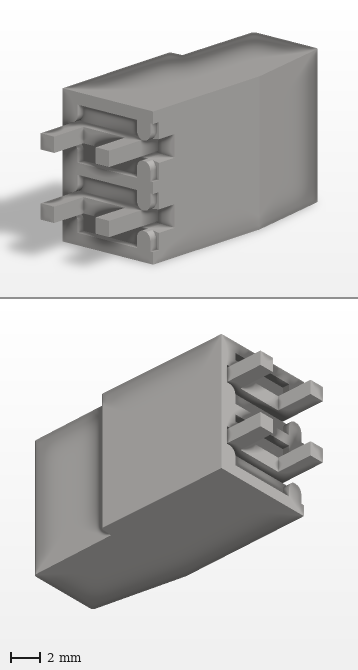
import cadquery as cq
import math

LENGTH = 21.5
WIDTH = 8.3
HEIGHT = 10.9
POLE_PITCH = 4.99
POLE_CENTRES = (-POLE_PITCH / 2, POLE_PITCH / 2)

BACK_Y = LENGTH / 2
RIGHT_X = WIDTH / 2
LEFT_X = -WIDTH / 2

PIN_PROJECTION = 3.0
FRONT_Y = -LENGTH / 2 + PIN_PROJECTION
FRONT_LEFT_X = -4.06
SHOULDER_Y = 3.4
SHOULDER_INNER_X = -3.07
SHOULDER_INNER_Y = 3.48
BACK_LEFT_X = -3.0
BACK_RIGHT_X = 2.85
TAPER_START_Y = 3.22
BACK_RADIUS = 0.25
SHOULDER_RADIUS = 0.2

POCKET_DEPTH = 0.6
POCKET_LEFT_X = -2.69
POCKET_HALF_HEIGHT = 2.06
LOBE_LEFT_X = 2.69
LOBE_RADIUS = 0.6
LOBE_CENTRE_X = LOBE_LEFT_X + LOBE_RADIUS
LOBE_RIGHT_X = LOBE_CENTRE_X + LOBE_RADIUS

SLOT_LEFT_X = -3.53
SLOT_RIGHT_X = 3.14
SLOT_HALF_HEIGHT = 0.7
SLOT_DEPTH = 2.0
MOUTH_HALF_HEIGHT = 0.84
MOUTH_DEPTH = 2.21

LOBE_SIDE_Z = SLOT_HALF_HEIGHT + LOBE_RADIUS

PIN_WIDTH = 1.23
PIN_HEIGHT = 1.16
PIN_LEFT_X = -3.4
PIN_SPACING = POLE_PITCH
TERMINAL_WIDTH = PIN_SPACING + PIN_WIDTH


def make_housing():
    """Extrude the stepped and tapered outline and round its exposed corners."""
    outline = [
        (FRONT_LEFT_X, FRONT_Y),
        (RIGHT_X, FRONT_Y),
        (RIGHT_X, TAPER_START_Y),
        (BACK_RIGHT_X, BACK_Y),
        (BACK_LEFT_X, BACK_Y),
        (SHOULDER_INNER_X, SHOULDER_INNER_Y),
        (LEFT_X, SHOULDER_Y),
    ]
    housing = cq.Workplane("XY").polyline(outline).close().extrude(HEIGHT / 2, both=True)
    rounded_corners = [
        (BACK_RIGHT_X, BACK_Y, BACK_RADIUS),
        (BACK_LEFT_X, BACK_Y, BACK_RADIUS),
        (LEFT_X, SHOULDER_Y, SHOULDER_RADIUS),
    ]
    for x, y, radius in rounded_corners:
        housing = housing.edges(cq.selectors.NearestToPointSelector((x, y, 0))).fillet(radius)
    return housing


def front_plane(z):
    """XZ work plane on the front face, centred on a pole; negative extrusion goes into the housing."""
    return cq.Workplane("XZ", origin=(0, FRONT_Y, z))


def make_pocket(z):
    """Pocket that leaves two round-ended lobes beside the slot mouth."""
    corner_start_x = POCKET_LEFT_X - LOBE_RADIUS
    diagonal = LOBE_RADIUS * math.sin(math.radians(45))
    corner_mid = (corner_start_x + diagonal, LOBE_SIDE_Z - diagonal)
    return (
        front_plane(z)
        .moveTo(SLOT_LEFT_X, -SLOT_HALF_HEIGHT)
        .lineTo(SLOT_LEFT_X, SLOT_HALF_HEIGHT)
        .lineTo(corner_start_x, SLOT_HALF_HEIGHT)
        .threePointArc(corner_mid, (POCKET_LEFT_X, LOBE_SIDE_Z))
        .lineTo(POCKET_LEFT_X, POCKET_HALF_HEIGHT)
        .lineTo(LOBE_LEFT_X, POCKET_HALF_HEIGHT)
        .lineTo(LOBE_LEFT_X, LOBE_SIDE_Z)
        .threePointArc((LOBE_CENTRE_X, SLOT_HALF_HEIGHT), (LOBE_RIGHT_X, LOBE_SIDE_Z))
        .lineTo(LOBE_RIGHT_X, POCKET_HALF_HEIGHT)
        .lineTo(RIGHT_X, POCKET_HALF_HEIGHT)
        .lineTo(RIGHT_X, -POCKET_HALF_HEIGHT)
        .lineTo(LOBE_RIGHT_X, -POCKET_HALF_HEIGHT)
        .lineTo(LOBE_RIGHT_X, -LOBE_SIDE_Z)
        .threePointArc((LOBE_CENTRE_X, -SLOT_HALF_HEIGHT), (LOBE_LEFT_X, -LOBE_SIDE_Z))
        .lineTo(LOBE_LEFT_X, -POCKET_HALF_HEIGHT)
        .lineTo(POCKET_LEFT_X, -POCKET_HALF_HEIGHT)
        .lineTo(POCKET_LEFT_X, -LOBE_SIDE_Z)
        .threePointArc((corner_mid[0], -corner_mid[1]), (corner_start_x, -SLOT_HALF_HEIGHT))
        .close()
        .extrude(-POCKET_DEPTH)
    )


def make_slot(z):
    """Terminal slot plus a mouth that widens and deepens toward the right side."""
    slot = (
        front_plane(z)
        .moveTo((SLOT_LEFT_X + SLOT_RIGHT_X) / 2, 0)
        .rect(SLOT_RIGHT_X - SLOT_LEFT_X, 2 * SLOT_HALF_HEIGHT)
        .extrude(-SLOT_DEPTH)
    )
    flare = (
        front_plane(z)
        .moveTo(SLOT_RIGHT_X, -SLOT_HALF_HEIGHT)
        .lineTo(RIGHT_X, -MOUTH_HALF_HEIGHT)
        .lineTo(RIGHT_X, MOUTH_HALF_HEIGHT)
        .lineTo(SLOT_RIGHT_X, SLOT_HALF_HEIGHT)
        .close()
        .extrude(-MOUTH_DEPTH)
    )
    sloped_floor = (
        cq.Workplane("XY", origin=(0, 0, z))
        .moveTo(SLOT_RIGHT_X, FRONT_Y)
        .lineTo(RIGHT_X, FRONT_Y)
        .lineTo(RIGHT_X, FRONT_Y + MOUTH_DEPTH)
        .lineTo(SLOT_RIGHT_X, FRONT_Y + SLOT_DEPTH)
        .close()
        .extrude(MOUTH_HALF_HEIGHT, both=True)
    )
    return slot.union(flare.intersect(sloped_floor))


def make_terminal(z):
    """Bar set flush with the front face and its two projecting pins."""
    terminal = (
        front_plane(z)
        .moveTo(PIN_LEFT_X + TERMINAL_WIDTH / 2, 0)
        .rect(TERMINAL_WIDTH, PIN_HEIGHT)
        .extrude(-SLOT_DEPTH)
    )
    first_pin_x = PIN_LEFT_X + PIN_WIDTH / 2
    pins = (
        front_plane(z)
        .pushPoints([(first_pin_x, 0), (first_pin_x + PIN_SPACING, 0)])
        .rect(PIN_WIDTH, PIN_HEIGHT)
        .extrude(PIN_PROJECTION)
    )
    return terminal.union(pins)


result = make_housing()
for pole_z in POLE_CENTRES:
    result = result.cut(make_pocket(pole_z)).cut(make_slot(pole_z)).union(make_terminal(pole_z))